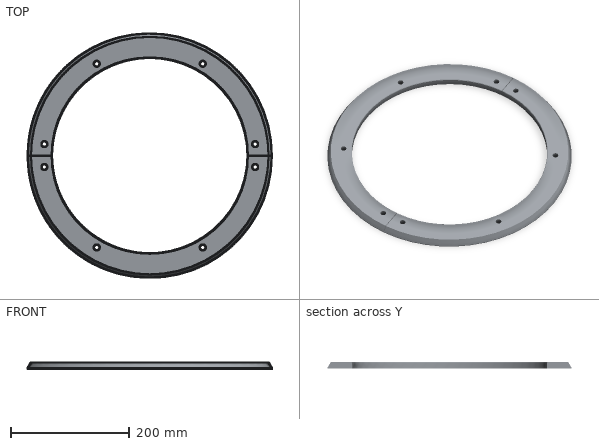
import cadquery as cq
import math

outer_radius = 206.5
inner_radius = 165.0
height = 11.0
lip_height = 1.2
edge_break = 1.0
slope_angle = 60.0
slope_run = (height - lip_height) / math.tan(math.radians(slope_angle))
top_radius = outer_radius - slope_run

hole_diameter = 9.5
bolt_circle_radius = 179.0
hole_angles = (6.2, 60.0)

seam_width = 1.0
web_thickness = 0.5
seam_depth = height - web_thickness


def make_ring():
    """Flat ring with a sloping outer face above a thin upright rim and a bevelled bore."""
    profile = [
        (inner_radius, 0),
        (outer_radius, 0),
        (outer_radius, lip_height),
        (top_radius, height),
        (inner_radius + edge_break, height),
        (inner_radius, height - edge_break),
    ]
    return cq.Workplane("XZ").polyline(profile).close().revolve(360, (0, 0), (0, 1))


def hole_centres():
    """Mirror each hole about both the X and Y axes."""
    centres = []
    for angle in hole_angles:
        x = bolt_circle_radius * math.cos(math.radians(angle))
        y = bolt_circle_radius * math.sin(math.radians(angle))
        for x_side in (1, -1):
            for y_side in (1, -1):
                centres.append((x_side * x, y_side * y))
    return centres


def make_holes():
    return (
        cq.Workplane("XY")
        .pushPoints(hole_centres())
        .circle(hole_diameter / 2)
        .extrude(height)
    )


def make_seam():
    """Narrow slot along the X axis, crossing both sides of the ring."""
    return (
        cq.Workplane("XY")
        .workplane(offset=web_thickness)
        .rect(2 * outer_radius, seam_width)
        .extrude(seam_depth)
    )


result = make_ring().cut(make_holes()).cut(make_seam())